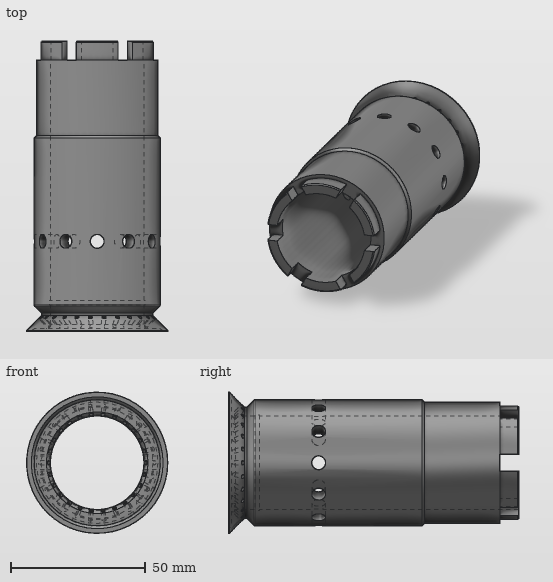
import cadquery as cq

length = 108.0

rim_diameter = 52.6
rim_radius = rim_diameter / 2
neck_radius = 20.7
body_radius = 23.5
sleeve_radius = 22.6
tooth_radius = 21.2

rim_thickness = 0.3
neck_start = rim_thickness + (rim_radius - neck_radius)
neck_end = 6.8
body_start = neck_end + (body_radius - neck_radius)
body_end = 72.9
sleeve_end = 101.0
tooth_chamfer = 0.4
body_start_fillet = 1.0

recess_radius = 24.5
recess_depth = 1.1
bore_radius = 17.4
inlet_chamfer = 1.5

groove_y = 9.8
groove_width = 1.6
groove_depth = 0.4

slot_count = 6
slot_width = 6.2

wall_hole_count = 12
wall_hole_diameter = 5.1
wall_hole_y = 33.5

flare_hole_count = 26
flare_hole_diameter = 1.5
flare_hole_y = 5.3
flare_hole_length = 10.8


def make_tube():
    """Wall section revolved about the Y axis."""
    section = [
        (rim_radius, 0),
        (rim_radius, rim_thickness),
        (neck_radius, neck_start),
        (neck_radius, neck_end),
        (body_radius, body_start),
        (body_radius, body_end - (body_radius - sleeve_radius)),
        (sleeve_radius, body_end),
        (sleeve_radius, sleeve_end),
        (tooth_radius, sleeve_end),
        (tooth_radius, length - tooth_chamfer),
        (tooth_radius - tooth_chamfer, length),
        (bore_radius, length),
        (bore_radius, groove_y + groove_width),
        (bore_radius + groove_depth, groove_y + groove_width),
        (bore_radius + groove_depth, groove_y),
        (bore_radius, groove_y),
        (bore_radius, recess_depth + inlet_chamfer),
        (bore_radius + inlet_chamfer, recess_depth),
        (recess_radius - recess_depth, recess_depth),
        (recess_radius, 0),
    ]
    tube = cq.Workplane("XY").polyline(section).close().revolve(360, (0, 0), (0, 1))
    body_edge = cq.selectors.NearestToPointSelector((0, body_start, 0))
    return tube.edges("%CIRCLE").edges(body_edge).fillet(body_start_fillet)


def ring_of(cutter, count):
    """Copies of a cutter, evenly spaced about the Y axis."""
    ring = cq.Workplane("XY")
    for index in range(count):
        ring = ring.add(cutter.rotate((0, 0, 0), (0, 1, 0), index * 360 / count))
    return ring.combine()


def make_tooth_slots():
    """Parallel-sided slots that divide the far end into teeth."""
    depth = length - sleeve_end
    slot = cq.Workplane("XY").box(body_radius, depth, slot_width, centered=(False, False, True))
    return ring_of(slot.translate((0, sleeve_end, 0)), slot_count)


def make_wall_holes():
    """Radial drillings through one wall each."""
    hole = (
        cq.Workplane("YZ")
        .center(wall_hole_y, 0)
        .circle(wall_hole_diameter / 2)
        .extrude(rim_radius)
    )
    return ring_of(hole, wall_hole_count)


def make_flare_holes():
    """Drillings from the flare cone, inward and toward the inlet, to the bore chamfer."""
    radius = rim_radius + rim_thickness - flare_hole_y
    inward = cq.Vector(-1, -1, 0).normalized()
    start = cq.Vector(radius, flare_hole_y, 0) - inward * (flare_hole_length / 2)
    hole = cq.Solid.makeCylinder(flare_hole_diameter / 2, flare_hole_length, start, inward)
    return ring_of(cq.Workplane(obj=hole), flare_hole_count)


result = make_tube().cut(make_tooth_slots()).cut(make_wall_holes()).cut(make_flare_holes())